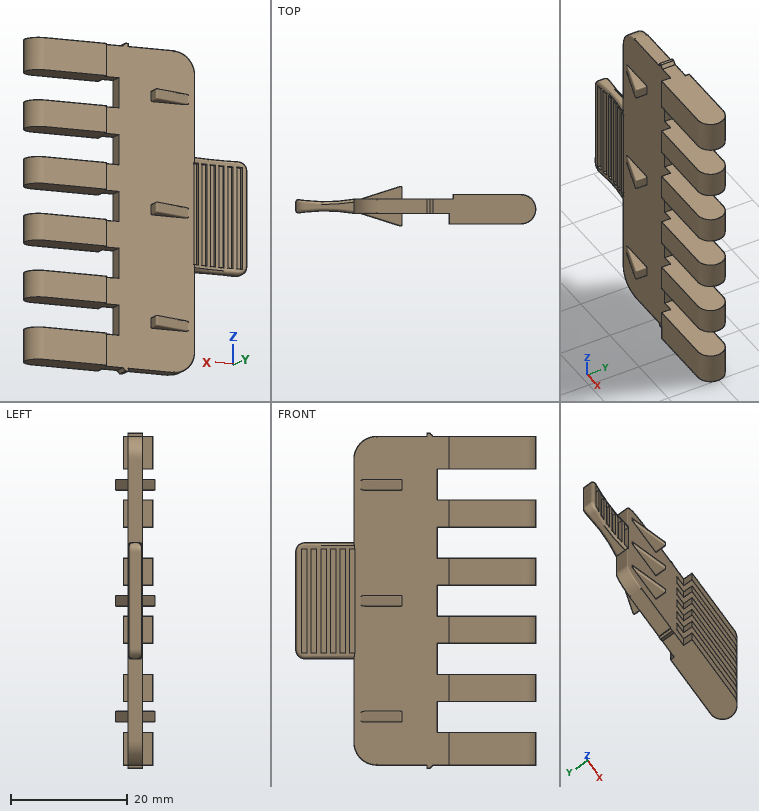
import cadquery as cq


plate_thickness = 2.54
plate_half = plate_thickness / 2
plate_corner_radius = 4.0
plate_edge_round = 0.2

slot_pitch = 10.0
slot_count = 5
slot_width = 5.3
slot_floor_x = 14.4
end_finger_width = 5.67
finger_tip_x = 31.33
finger_thickness = 5.08
finger_centre_y = -0.51
finger_front_x = 16.4
finger_back_x = 17.1

comb_length = (slot_count - 1) * slot_pitch + slot_width + 2 * end_finger_width
comb_half = comb_length / 2
slot_heights = [(i - (slot_count - 1) / 2) * slot_pitch for i in range(slot_count)]

overall_length = 57.7
nub_height = (overall_length - comb_length) / 2
nub_start_x = 12.6
nub_crest_x = 13.1
nub_end_x = 13.65

barb_pitch = 19.95
barb_heights = (-barb_pitch, 0, barb_pitch)
barb_start_x = 1.25
barb_end_x = 8.3
barb_width = 1.9
barb_corner_y = 3.52
barb_round = 0.25

handle_length = 10.0
handle_width = 20.0
handle_end_half = 1.25
handle_waist_half = 0.81
handle_waist_x = -handle_length / 2
handle_root_x = 0.25
handle_corner_radius = 1.6
handle_edge_round = 0.5

groove_count = 6
groove_pitch = 1.66
groove_width = 0.95
groove_length = 17.9
groove_start_x = -9.0
groove_floor_half = 0.3


def make_plate():
    """Plate whose rounded handle-side rim ends where the corner arcs end."""
    rim_strip = (
        cq.Workplane("XZ", origin=(0, plate_half, 0))
        .moveTo(plate_corner_radius, -comb_half)
        .radiusArc((0, plate_corner_radius - comb_half), plate_corner_radius)
        .lineTo(0, comb_half - plate_corner_radius)
        .radiusArc((plate_corner_radius, comb_half), plate_corner_radius)
        .close()
        .extrude(plate_thickness)
        .faces("<Y or >Y")
        .edges("not >X")
        .fillet(plate_edge_round)
    )
    main_panel = cq.Workplane("XY", origin=(plate_corner_radius, 0, 0)).box(
        finger_back_x - plate_corner_radius, plate_thickness, comb_length, centered=(False, True, True)
    )
    return rim_strip.union(main_panel)


def make_finger_bar():
    front_y = finger_centre_y - finger_thickness / 2
    back_y = finger_centre_y + finger_thickness / 2
    round_start_x = finger_tip_x - finger_thickness / 2
    return (
        cq.Workplane("XY", origin=(0, 0, -comb_half))
        .moveTo(finger_front_x, front_y)
        .lineTo(round_start_x, front_y)
        .threePointArc((finger_tip_x, finger_centre_y), (round_start_x, back_y))
        .lineTo(finger_back_x, back_y)
        .lineTo(finger_back_x, 0)
        .lineTo(finger_front_x, 0)
        .close()
        .extrude(comb_length)
    )


def make_slot():
    return cq.Workplane("XY", origin=(slot_floor_x, finger_centre_y, 0)).box(
        finger_tip_x - slot_floor_x, 2 * finger_thickness, slot_width, centered=(False, True, True)
    )


def make_nub():
    return (
        cq.Workplane("XZ", origin=(0, plate_half, 0))
        .moveTo(nub_start_x, comb_half - nub_height)
        .lineTo(nub_start_x, comb_half + nub_height)
        .lineTo(nub_crest_x, comb_half + nub_height)
        .lineTo(nub_end_x, comb_half)
        .lineTo(nub_end_x, comb_half - nub_height)
        .close()
        .extrude(plate_thickness)
    )


def make_barb_pair():
    """Front and back barbs as one double wedge centred on Z = 0."""
    return (
        cq.Workplane("XY", origin=(0, 0, -barb_width / 2))
        .moveTo(barb_start_x, -plate_half)
        .lineTo(barb_end_x, -barb_corner_y)
        .lineTo(barb_end_x, barb_corner_y)
        .lineTo(barb_start_x, plate_half)
        .close()
        .extrude(barb_width)
        .edges("not <X")
        .fillet(barb_round)
    )


def make_handle():
    handle = (
        cq.Workplane("XY", origin=(0, 0, -handle_width / 2))
        .moveTo(-handle_length, -handle_end_half)
        .threePointArc((handle_waist_x, -handle_waist_half), (handle_root_x, -plate_half))
        .lineTo(handle_root_x, plate_half)
        .threePointArc((handle_waist_x, handle_waist_half), (-handle_length, handle_end_half))
        .close()
        .extrude(handle_width)
        .faces("<X")
        .edges("|Y")
        .fillet(handle_corner_radius)
    )
    for face in ("<Y", ">Y"):
        handle = handle.faces(face).edges("not >X").fillet(handle_edge_round)
    return handle


def make_groove_row(side):
    """Grip grooves for one handle face (side is -1 or 1), cut down to a flat floor."""
    depth = plate_half - groove_floor_half
    first_x = groove_start_x + groove_width / 2
    centre_y = side * (groove_floor_half + depth / 2)
    return (
        cq.Workplane("XY")
        .pushPoints([(first_x + i * groove_pitch, centre_y) for i in range(groove_count)])
        .box(groove_width, depth, groove_length)
    )


result = make_plate().union(make_finger_bar())
slot = make_slot()
for height in slot_heights:
    result = result.cut(slot.translate((0, 0, height)))

nub = make_nub()
result = result.union(nub).union(nub.mirror("XY"))

barb_pair = make_barb_pair()
for height in barb_heights:
    result = result.union(barb_pair.translate((0, 0, height)))

result = result.union(make_handle())
for face_side in (-1, 1):
    result = result.cut(make_groove_row(face_side))